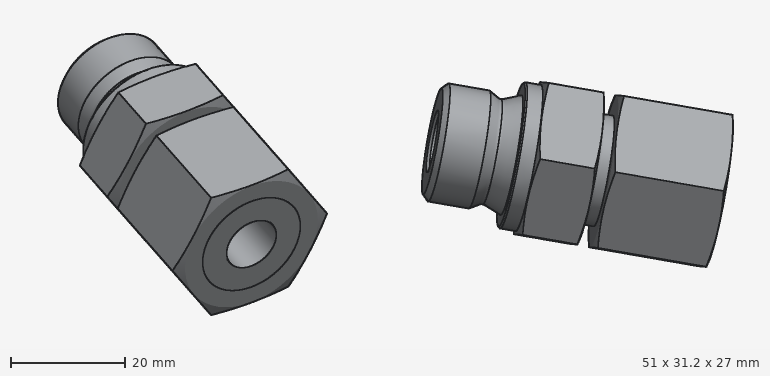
import cadquery as cq
import math


total_length = 51.0
thread_end = 8.3
neck_x = 10.6
collar_start = 14.0
hex_start = 17.1
hex_end = 28.0
nut_start = 30.5

bore_radius = 5.0
thread_radius = 10.5
collar_radius = 13.0
tail_radius = 9.85

bore_chamfer = 0.5
thread_chamfer = 1.05
collar_chamfer = 0.3
tail_fillet = 0.95

waist_round = 1.2
runout_angle = math.radians(30)
seal_angle = math.radians(22)

across_flats = 27.0
hex_chamfer_radius = 13.35
hex_chamfer_angle = math.radians(15)

runout_end = neck_x - waist_round * math.sin(runout_angle)
runout_end_radius = thread_radius - (runout_end - thread_end) * math.tan(runout_angle)
waist_center_radius = runout_end_radius + waist_round * math.cos(runout_angle)
neck_radius = waist_center_radius - waist_round
seal_cone_start = neck_x + waist_round * math.sin(seal_angle)
seal_cone_start_radius = waist_center_radius - waist_round * math.cos(seal_angle)
seal_radius = seal_cone_start_radius + (collar_start - seal_cone_start) * math.tan(seal_angle)


def waist_point(angle):
    """Point (x, radius) on the waist round, at an angle measured from its lowest point."""
    return (
        neck_x + waist_round * math.sin(angle),
        waist_center_radius - waist_round * math.cos(angle),
    )


def revolve_about_x(outline):
    """Revolve an open (x, radius) outline, closed by a straight line, about the X axis."""
    return outline.close().revolve(360, (0, 0, 0), (1, 0, 0))


def cylinder_along_x(start, end, radius):
    """Plain round bar on the X axis."""
    return cq.Workplane("YZ", origin=(start, 0, 0)).circle(radius).extrude(end - start)


def chamfered_hexagon(start, end):
    """Hexagonal bar, flat at top and bottom, with its corners turned down at both ends."""
    corner_radius = across_flats / math.sqrt(3)
    drop = (corner_radius - hex_chamfer_radius) * math.tan(hex_chamfer_angle)
    bar = cq.Workplane("YZ", origin=(start, 0, 0)).polygon(6, 2 * corner_radius).extrude(end - start)
    envelope = revolve_about_x(
        cq.Workplane("XY")
        .moveTo(start, 0)
        .lineTo(start, hex_chamfer_radius)
        .lineTo(start + drop, corner_radius)
        .lineTo(end - drop, corner_radius)
        .lineTo(end, hex_chamfer_radius)
        .lineTo(end, 0)
    )
    return bar.intersect(envelope)


def stud_front():
    """Threaded end, run-out, neck and collar."""
    return revolve_about_x(
        cq.Workplane("XY")
        .moveTo(0, 0)
        .lineTo(0, thread_radius - thread_chamfer)
        .lineTo(thread_chamfer, thread_radius)
        .lineTo(thread_end, thread_radius)
        .lineTo(runout_end, runout_end_radius)
        .threePointArc(waist_point(-runout_angle / 2), (neck_x, neck_radius))
        .lineTo(collar_start, neck_radius)
        .lineTo(collar_start, collar_radius - collar_chamfer)
        .lineTo(collar_start + collar_chamfer, collar_radius)
        .lineTo(hex_start, collar_radius)
        .lineTo(hex_start, 0)
    )


def stud_tail():
    """Round tail that carries the nut, filleted into the end of the hexagon."""
    fillet_inset = tail_fillet * (1 - math.sqrt(0.5))
    return revolve_about_x(
        cq.Workplane("XY")
        .moveTo(hex_end, 0)
        .lineTo(hex_end, tail_radius + tail_fillet)
        .threePointArc(
            (hex_end + fillet_inset, tail_radius + fillet_inset),
            (hex_end + tail_fillet, tail_radius),
        )
        .lineTo(total_length, tail_radius)
        .lineTo(total_length, 0)
    )


def stud_bore():
    """Through bore with a chamfered mouth at the threaded end."""
    return revolve_about_x(
        cq.Workplane("XY")
        .lineTo(0, bore_radius + bore_chamfer)
        .lineTo(bore_chamfer, bore_radius)
        .lineTo(total_length, bore_radius)
        .lineTo(total_length, 0)
    )


def make_stud():
    """Male stud: threaded end, collar, hexagon and tail, bored through."""
    blank = stud_front().union(chamfered_hexagon(hex_start, hex_end)).union(stud_tail())
    return blank.cut(stud_bore())


def make_seal():
    """Sealing ring around the neck, widening up to the collar face."""
    return revolve_about_x(
        cq.Workplane("XY")
        .moveTo(neck_x, neck_radius)
        .threePointArc(waist_point(seal_angle / 2), (seal_cone_start, seal_cone_start_radius))
        .lineTo(collar_start, seal_radius)
        .lineTo(collar_start, neck_radius)
    )


def make_nut():
    """Hexagonal nut bored to fit the tail of the stud."""
    tail_hole = cylinder_along_x(nut_start, total_length, tail_radius)
    return chamfered_hexagon(nut_start, total_length).cut(tail_hole)


stud = make_stud()
seal = make_seal()
nut = make_nut()

result = cq.Compound.makeCompound([stud.val(), seal.val(), nut.val()])